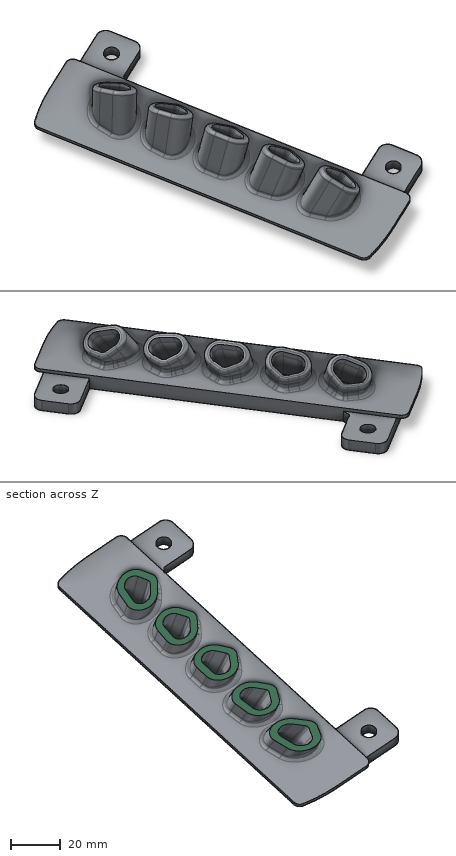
import cadquery as cq
import math

plate_length = 154.0
plate_depth = 37.0
plate_thickness = 1.5
plate_front_length = 149.0
plate_straight_side = 18.5
plate_corner_radius = 3.1

body_length = 145.4
body_thickness = 5.0
body_front_y = -31.4
body_front_length = 128.1
shoulder_setback = 0.3
shoulder_length = 4.8
body_corner_radius = 2.5
tab_width = 19.0
tab_reach = 19.9
tab_corner_radius = 4.0
tab_hole_diameter = 6.3
tab_hole_y = 10.2
gusset_width = 3.0
gusset_reach = 2.2

socket_count = 5
socket_pitch = 23.7
fan_step = 9.0
socket_tilt = 34.0
socket_base_y = -19.0
socket_rise = 12.8
flare = 0.5
flare_depth = 3.5
wall = 3.0
bore_flat = 6.0
bore_side_radius = 3.4
roof_angle = 29.0
bore_ridge_radius = 1.7
rim_radius = 1.5
foot_radius = 2.0

below = 30.8
trim_size = 92.4
patch_size = 27.7


def build_plate():
    half_length = plate_length / 2
    half_front = plate_front_length / 2
    bow_y = -(plate_straight_side + plate_depth) / 2
    bow_x = (3 * half_length + half_front) / 4
    return (
        cq.Workplane("XY")
        .moveTo(-half_length, 0)
        .lineTo(half_length, 0)
        .lineTo(half_length, -plate_straight_side)
        .threePointArc((bow_x, bow_y), (half_front, -plate_depth))
        .lineTo(-half_front, -plate_depth)
        .threePointArc((-bow_x, bow_y), (-half_length, -plate_straight_side))
        .close()
        .extrude(plate_thickness)
        .edges("|Z and (>Y or <Y)")
        .fillet(plate_corner_radius)
    )


def build_body():
    half_length = body_length / 2
    shoulder_y = body_front_y + shoulder_setback
    tab_x = (body_length - tab_width) / 2
    block = (
        cq.Workplane("XY", origin=(0, 0, -body_thickness))
        .polyline(
            [
                (-half_length, 0),
                (-half_length, shoulder_y),
                (-half_length + shoulder_length, shoulder_y),
                (-body_front_length / 2, body_front_y),
                (body_front_length / 2, body_front_y),
                (half_length - shoulder_length, shoulder_y),
                (half_length, shoulder_y),
                (half_length, 0),
            ]
        )
        .close()
        .extrude(body_thickness)
    )
    for end in ("<X", ">X"):
        block = block.faces(end).edges("|Z and <Y").fillet(body_corner_radius)
    for x in (-tab_x, tab_x):
        tab = (
            cq.Workplane("XY", origin=(x, (tab_reach + body_front_y / 2) / 2, -body_thickness))
            .rect(tab_width, tab_reach - body_front_y / 2)
            .extrude(body_thickness)
            .edges("|Z and >Y")
            .fillet(tab_corner_radius)
        )
        block = block.union(tab)
    inner_x = -tab_x + tab_width / 2
    gusset = (
        cq.Workplane("XY", origin=(0, 0, -body_thickness))
        .polyline([(inner_x, 0), (inner_x + gusset_width, 0), (inner_x, gusset_reach)])
        .close()
        .extrude(body_thickness)
    )
    holes = (
        cq.Workplane("XY", origin=(0, 0, -body_thickness))
        .pushPoints([(-tab_x, tab_hole_y), (tab_x, tab_hole_y)])
        .circle(tab_hole_diameter / 2)
        .extrude(body_thickness)
    )
    return block.union(gusset).cut(holes)


def socket_section(offset, height):
    """Outline of the bore, grown outward by offset, at a height along the socket axis."""
    half_flat = bore_flat / 2
    side_radius = bore_side_radius + offset
    ridge_radius = bore_ridge_radius + offset
    slope = math.radians(roof_angle)
    roof_x = half_flat + side_radius * math.sin(slope)
    roof_y = side_radius * math.cos(slope)
    ridge_x = ridge_radius * math.sin(slope)
    ridge_y = roof_y + (roof_x - ridge_x) * math.tan(slope)
    ridge_top = ridge_y + ridge_radius * (1 - math.cos(slope))
    side_x = half_flat + side_radius
    return (
        cq.Workplane("XY", origin=(0, 0, height))
        .moveTo(-half_flat, -side_radius)
        .lineTo(half_flat, -side_radius)
        .threePointArc((side_x, 0), (roof_x, roof_y))
        .lineTo(ridge_x, ridge_y)
        .threePointArc((0, ridge_top), (-ridge_x, ridge_y))
        .lineTo(-roof_x, roof_y)
        .threePointArc((-side_x, 0), (-half_flat, -side_radius))
        .close()
    )


def build_bore():
    """Straight bore that flares out to the rim."""
    flare_start = socket_rise - flare_depth
    straight = socket_section(0, -below).extrude(flare_start + below)
    throat = socket_section(0, flare_start).wire().val()
    mouth = socket_section(flare, socket_rise).wire().val()
    return straight.union(cq.Workplane(cq.Solid.makeLoft([throat, mouth], True)))


def place_socket(shape, step):
    """Lean an upright shape backward, then sideways, and set it on the plate."""
    return (
        shape.rotate((0, 0, 0), (1, 0, 0), -socket_tilt)
        .rotate((0, 0, 0), (0, 1, 0), step * fan_step)
        .translate((step * socket_pitch, socket_base_y, plate_thickness))
    )


def build_socket(step):
    """Solid socket with a rounded foot, standing on its own patch of plate."""
    upright = (
        socket_section(wall, -below)
        .extrude(socket_rise + below)
        .faces(">Z")
        .edges()
        .fillet(rim_radius)
    )
    above_underside = (
        cq.Workplane("XY", origin=(step * socket_pitch, socket_base_y, 0))
        .rect(trim_size, trim_size)
        .extrude(trim_size)
    )
    patch = (
        cq.Workplane("XY", origin=(step * socket_pitch, socket_base_y, 0))
        .rect(patch_size, patch_size)
        .extrude(plate_thickness)
    )
    socket = patch.union(place_socket(upright, step).intersect(above_underside))
    patch_top = next(face for face in socket.faces("+Z").vals() if face.innerWires())
    foot_edges = patch_top.innerWires()[0].Edges()
    return socket.newObject(foot_edges).fillet(foot_radius)


outer_step = (socket_count - 1) // 2
sockets = [build_socket(0)]
for step in range(1, outer_step + 1):
    socket = build_socket(step)
    sockets.append(socket)
    sockets.append(socket.mirror("YZ"))

result = build_plate().union(build_body())
for socket in sockets:
    result = result.union(socket)
for step in range(-outer_step, outer_step + 1):
    result = result.cut(place_socket(build_bore(), step))